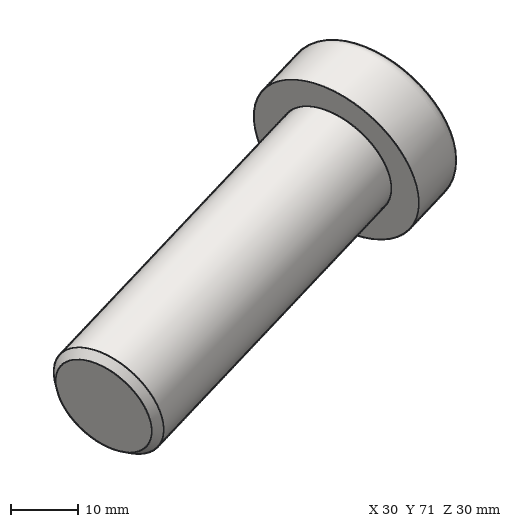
import cadquery as cq

total_length = 71.0
head_diameter = 30.0
head_thickness = 11.0
head_edge_radius = 2.0
shank_diameter = 20.0
tip_chamfer = 1.3

shank_length = total_length - head_thickness


def cylinder_along_y(diameter, start_y, length):
    """Solid cylinder from start_y towards +Y."""
    base = cq.Workplane("XZ", origin=(0, start_y, 0))
    return base.circle(diameter / 2).extrude(-length)


shank = cylinder_along_y(shank_diameter, 0, shank_length)
shank = shank.faces("<Y").chamfer(tip_chamfer)

head = cylinder_along_y(head_diameter, shank_length, head_thickness)
head = head.faces(">Y").edges().fillet(head_edge_radius)

result = shank.union(head)